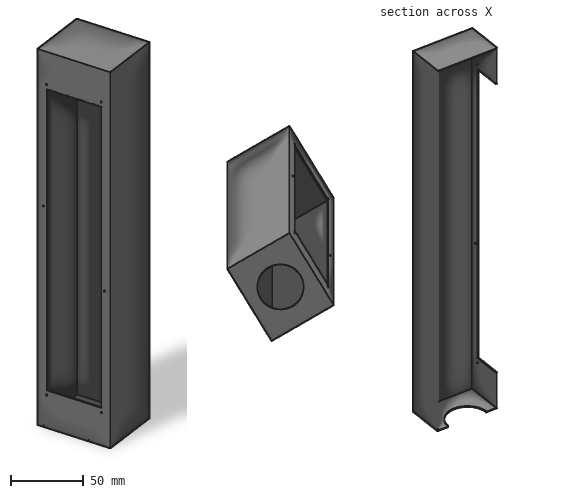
import cadquery as cq

width = 60.0
depth = 50.0
height = 300.0
wall = 1.0

window_width = 45.0
window_height = 240.0

screw_diameter = 1.0
corner_screw_x = window_width / 2
corner_screw_gap = 4.0
corner_screw_z = window_height / 2 + corner_screw_gap
side_screw_x = 25.2
side_screw_z = 26.0

floor_hole_diameter = 32.0


def make_shell():
    """Closed box with the same wall thickness on every side."""
    outside = cq.Workplane("XY").box(width, depth, height)
    inside = cq.Workplane("XY").box(width - 2 * wall, depth - 2 * wall, height - 2 * wall)
    return outside.cut(inside).translate((0, 0, height / 2))


def front_plane():
    """Plane on the outer front face, with its origin at mid height and its normal along -Y."""
    return cq.Workplane("XZ", origin=(0, -depth / 2, height / 2))


def make_window():
    return front_plane().rect(window_width, window_height).extrude(-wall)


def make_screw_holes():
    """Four holes beside the window corners and two on opposite sides of the window."""
    corners = [(x, z) for x in (-corner_screw_x, corner_screw_x) for z in (-corner_screw_z, corner_screw_z)]
    sides = [(-side_screw_x, side_screw_z), (side_screw_x, -side_screw_z)]
    return front_plane().pushPoints(corners + sides).circle(screw_diameter / 2).extrude(-wall)


def make_floor_hole():
    return cq.Workplane("XY").circle(floor_hole_diameter / 2).extrude(wall)


result = make_shell().cut(make_window()).cut(make_screw_holes()).cut(make_floor_hole())